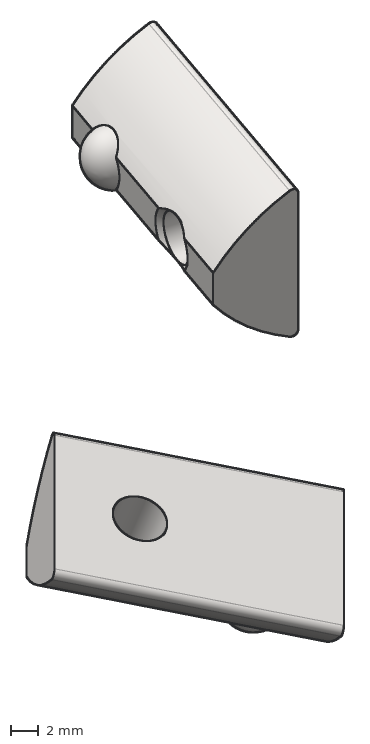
import cadquery as cq
import math

length = 22.0
body_depth = 7.0
height = 13.7
front_flat_height = 3.0
edge_radius = 0.5

flank_edge_angle = math.radians(26.0)

hole_from_end = 15.5
hole_diameter = 4.13
lead_in_diameter = 5.0

ball_from_end = 5.0
ball_diameter = 5.0
ball_projection = 1.7

left_x = -length / 2
back_y = 0.0
front_y = back_y - body_depth


def make_body():
    """Extrude the profile along X; its upper half is mirrored to make the lower half."""
    half_height = height / 2
    half_flat = front_flat_height / 2
    edge_y = back_y - edge_radius
    edge_z = half_height - edge_radius
    flank_y = edge_y - edge_radius * math.sin(flank_edge_angle)
    flank_z = edge_z + edge_radius * math.cos(flank_edge_angle)
    middle_angle = (math.pi / 2 - flank_edge_angle) / 2
    round_middle_y = edge_y + edge_radius * math.sin(middle_angle)
    round_middle_z = edge_z + edge_radius * math.cos(middle_angle)

    return (
        cq.Workplane("YZ", origin=(left_x, 0, 0))
        .moveTo(back_y, 0)
        .lineTo(back_y, edge_z)
        .threePointArc((round_middle_y, round_middle_z), (flank_y, flank_z))
        .tangentArcPoint((front_y, half_flat), relative=False)
        .lineTo(front_y, 0)
        .mirrorX()
        .extrude(length)
        .clean()
    )


def make_hole():
    """Through hole along Y with a conical lead-in at the front."""
    center_x = left_x + hole_from_end
    hole_radius = hole_diameter / 2
    lead_in_radius = lead_in_diameter / 2
    lead_in_depth = lead_in_radius - hole_radius
    return (
        cq.Workplane("XY", origin=(center_x, 0, 0))
        .moveTo(0, front_y)
        .lineTo(lead_in_radius, front_y)
        .lineTo(hole_radius, front_y + lead_in_depth)
        .lineTo(hole_radius, back_y)
        .lineTo(0, back_y)
        .close()
        .revolve(360, (0, 0, 0), (0, 1, 0))
    )


def make_ball():
    """Ball set into the front flat, revolved about Y."""
    ball_radius = ball_diameter / 2
    center_x = left_x + ball_from_end
    tip_y = front_y - ball_projection
    return (
        cq.Workplane("XY", origin=(center_x, 0, 0))
        .moveTo(0, tip_y)
        .threePointArc((ball_radius, tip_y + ball_radius), (0, tip_y + ball_diameter))
        .close()
        .revolve(360, (0, 0, 0), (0, 1, 0))
    )


result = make_body().cut(make_hole()).union(make_ball())